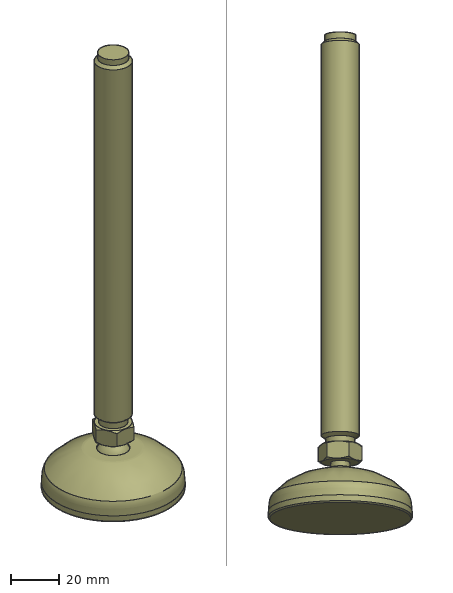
import cadquery as cq
import math


foot_radius = 30.0
pad_height = 3.1
pad_chamfer = 0.6

skirt_top = 6.2
skirt_draft = math.radians(5.0)
shoulder_top = 9.3
shoulder_radius = 28.7
base_top = 19.1
dome_top_radius = 12.6
dome_arc_radius = 30.0
rim_fillet = 4.0

ball_radius = 15.7 / 2
socket_radius = 16.2 / 2
ball_section_radius = 13.28 / 2
ball_centre = base_top - math.sqrt(ball_radius**2 - ball_section_radius**2)

neck_radius = 8.06 / 2
hex_bottom = 23.9
hex_height = 7.5
hex_top = hex_bottom + hex_height
hex_across_flats = 16.0
hex_face_radius = 15.7 / 2
hex_chamfer_slope = math.tan(math.radians(30.0))
rod_radius = 16.0 / 2
groove_radius = 12.2 / 2
tip_radius = 13.0 / 2
relief_length = 2.7
rod_chamfer = 1.3
stud_top = 206.7


def arc_middle(start, end, radius):
    """Middle point of the arc from start to end that bulges outward and upward."""
    run = end[0] - start[0]
    drop = start[1] - end[1]
    chord = math.hypot(run, drop)
    bulge = radius - math.sqrt(radius**2 - (chord / 2) ** 2)
    middle_r = (start[0] + end[0]) / 2 + bulge * drop / chord
    middle_z = (start[1] + end[1]) / 2 + bulge * run / chord
    return (middle_r, middle_z)


def revolve_about_z(profile):
    """Close a radius-height profile and turn it about the Z axis."""
    return profile.close().revolve(360, (0, 0, 0), (0, 1, 0))


def make_pad():
    pad = cq.Workplane("XY").circle(foot_radius).extrude(pad_height)
    return pad.faces("<Z").edges().chamfer(pad_chamfer)


def make_base():
    skirt_radius = foot_radius - (skirt_top - pad_height) * math.tan(skirt_draft)
    rim = (dome_top_radius, base_top)
    shoulder = (shoulder_radius, shoulder_top)
    skirt = (skirt_radius, skirt_top)
    shoulder_chord = math.dist(shoulder, skirt)
    shoulder_chord_angle = math.atan2(skirt_radius - shoulder_radius, shoulder_top - skirt_top)
    shoulder_arc_radius = shoulder_chord / (2 * math.sin(shoulder_chord_angle - skirt_draft))
    profile = (
        cq.Workplane("XZ")
        .moveTo(0, pad_height)
        .lineTo(foot_radius, pad_height)
        .lineTo(*skirt)
        .threePointArc(arc_middle(shoulder, skirt, shoulder_arc_radius), shoulder)
        .threePointArc(arc_middle(rim, shoulder, dome_arc_radius), rim)
        .lineTo(0, base_top)
    )
    base = revolve_about_z(profile).faces(">Z").edges().fillet(rim_fillet)
    socket = cq.Workplane("XY").sphere(socket_radius).translate((0, 0, ball_centre))
    return base.cut(socket)


def make_hexagon():
    """Hexagon with flats facing +X and -X and both ends chamfered down to a round end face."""
    corner_radius = hex_across_flats / math.sqrt(3)
    chamfer_height = (corner_radius - hex_face_radius) * hex_chamfer_slope
    prism = (
        cq.Workplane("XY", origin=(0, 0, hex_bottom))
        .transformed(rotate=(0, 0, 90))
        .polygon(6, 2 * corner_radius)
        .extrude(hex_height)
    )
    envelope = revolve_about_z(
        cq.Workplane("XZ")
        .moveTo(0, hex_bottom)
        .lineTo(hex_face_radius, hex_bottom)
        .lineTo(corner_radius, hex_bottom + chamfer_height)
        .lineTo(corner_radius, hex_top - chamfer_height)
        .lineTo(hex_face_radius, hex_top)
        .lineTo(0, hex_top)
    )
    return prism.intersect(envelope)


def make_stud():
    ball = cq.Workplane("XY").sphere(ball_radius).translate((0, 0, ball_centre))
    neck = cq.Workplane("XY", origin=(0, 0, ball_centre)).circle(neck_radius)
    neck = neck.extrude(hex_bottom - ball_centre)
    groove = cq.Workplane("XY", origin=(0, 0, hex_top)).circle(groove_radius).extrude(relief_length)
    rod_bottom = hex_top + relief_length
    rod_top = stud_top - relief_length
    rod = revolve_about_z(
        cq.Workplane("XZ")
        .moveTo(0, rod_bottom)
        .lineTo(groove_radius, rod_bottom)
        .lineTo(rod_radius, rod_bottom + rod_chamfer)
        .lineTo(rod_radius, rod_top - rod_chamfer)
        .lineTo(tip_radius, rod_top)
        .lineTo(tip_radius, stud_top)
        .lineTo(0, stud_top)
    )
    return ball.union(neck).union(make_hexagon()).union(groove).union(rod)


pad = make_pad()
base = make_base()
stud = make_stud()

result = cq.Compound.makeCompound([pad.val(), base.val(), stud.val()])